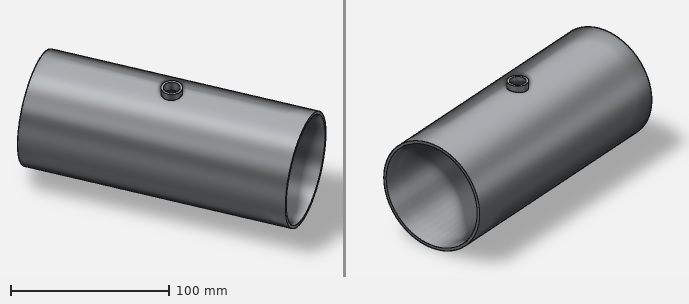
import cadquery as cq

tube_length = 180.0
tube_outer_diameter = 76.3
tube_inner_diameter = 72.3

socket_outer_diameter = 13.8
socket_bore_diameter = 10.5
socket_top_height = 42.5


def cylinder_along_x(diameter, length):
    """Cylinder on the X axis, centred on the origin."""
    return cq.Workplane("YZ").circle(diameter / 2).extrude(length / 2, both=True)


def cylinder_up_from_axis(diameter, height):
    """Vertical cylinder rising from the tube axis at mid-length."""
    return cq.Workplane("XY").circle(diameter / 2).extrude(height)


def make_part():
    body = cylinder_along_x(tube_outer_diameter, tube_length)
    body = body.union(cylinder_up_from_axis(socket_outer_diameter, socket_top_height))
    body = body.cut(cylinder_along_x(tube_inner_diameter, tube_length))
    return body.cut(cylinder_up_from_axis(socket_bore_diameter, socket_top_height))


result = make_part()